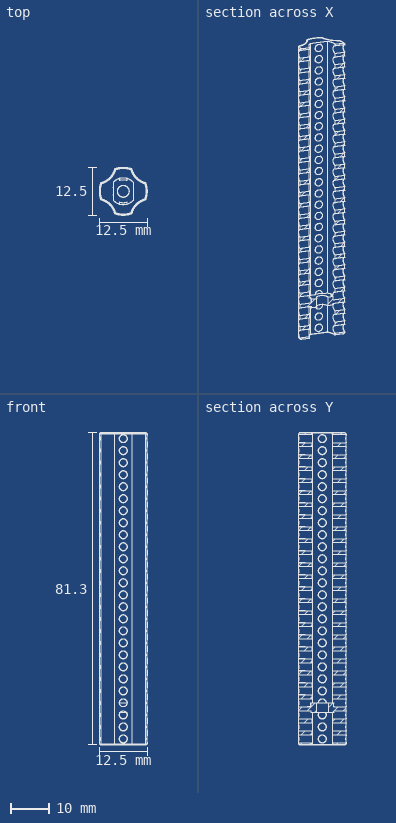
import cadquery as cq

body_diameter = 12.5
body_radius = body_diameter / 2
hole_count = 26
hole_pitch = 3.125
length = hole_count * hole_pitch
flute_radius = 4.9
flute_offset = 7.0
end_chamfer = 0.3

bore_diameter = 7.0
bore_width = 5.2

partition_top = 3.5 * hole_pitch
partition_thickness = 2.5
partition_bottom = partition_top - partition_thickness
core_diameter = 6.0
screw_hole_diameter = 3.0

cross_hole_diameter = 2.0


def fluted_bar():
    bar = cq.Workplane("XY").circle(body_radius).extrude(length)
    flutes = (
        cq.Workplane("XY")
        .rect(2 * flute_offset, 2 * flute_offset, forConstruction=True)
        .vertices()
        .circle(flute_radius)
        .extrude(length)
    )
    return bar.cut(flutes).faces("<Z or >Z").chamfer(end_chamfer)


def bore_section(bottom, top):
    height = top - bottom
    round_part = cq.Workplane("XY").workplane(offset=bottom).circle(bore_diameter / 2).extrude(height)
    flat_part = cq.Workplane("XY").workplane(offset=bottom).rect(bore_width, bore_diameter).extrude(height)
    return round_part.intersect(flat_part)


def cross_holes(plane):
    positions = [(0, (i + 0.5) * hole_pitch) for i in range(hole_count)]
    return (
        cq.Workplane(plane)
        .pushPoints(positions)
        .circle(cross_hole_diameter / 2)
        .extrude(body_radius, both=True)
    )


def round_core(diameter):
    return (
        cq.Workplane("XY")
        .workplane(offset=partition_bottom)
        .circle(diameter / 2)
        .extrude(partition_thickness)
    )


tube = fluted_bar()
tube = tube.cut(bore_section(0, partition_bottom))
tube = tube.cut(bore_section(partition_top, length))
tube = tube.cut(cross_holes("XZ")).cut(cross_holes("YZ"))
result = tube.union(round_core(core_diameter)).cut(round_core(screw_hole_diameter))